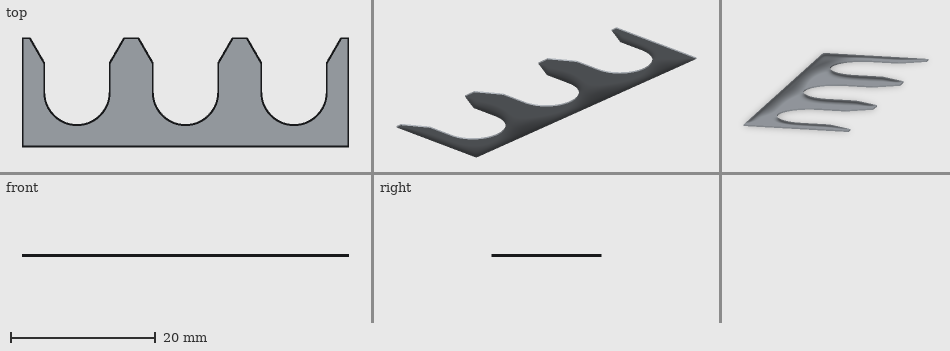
import cadquery as cq
import math

slot_count = 3
slot_pitch = 15.0
plate_length = slot_count * slot_pitch
plate_width = 15.0
plate_thickness = 0.2

slot_width = 9.0
slot_radius = slot_width / 2
web_width = 3.0

mouth_width = 13.0
mouth_angle = 60.0
mouth_depth = (mouth_width - slot_width) / 2 * math.tan(math.radians(mouth_angle))

open_edge_y = plate_width / 2
arc_bottom_y = -plate_width / 2 + web_width
arc_center_y = arc_bottom_y + slot_radius
mouth_base_y = open_edge_y - mouth_depth


def make_plate():
    """Rectangular strip centred on the origin."""
    return cq.Workplane("XY").box(plate_length, plate_width, plate_thickness)


def make_slot_cutter(center_x):
    """Round-bottomed slot with a flared mouth, running through the plate."""
    return (
        cq.Workplane("XY", origin=(center_x, 0, 0))
        .moveTo(-mouth_width / 2, open_edge_y)
        .lineTo(-slot_radius, mouth_base_y)
        .lineTo(-slot_radius, arc_center_y)
        .threePointArc((0, arc_bottom_y), (slot_radius, arc_center_y))
        .lineTo(slot_radius, mouth_base_y)
        .lineTo(mouth_width / 2, open_edge_y)
        .close()
        .extrude(plate_thickness, both=True)
    )


result = make_plate()
for slot_index in range(slot_count):
    slot_x = (slot_index - (slot_count - 1) / 2) * slot_pitch
    result = result.cut(make_slot_cutter(slot_x))